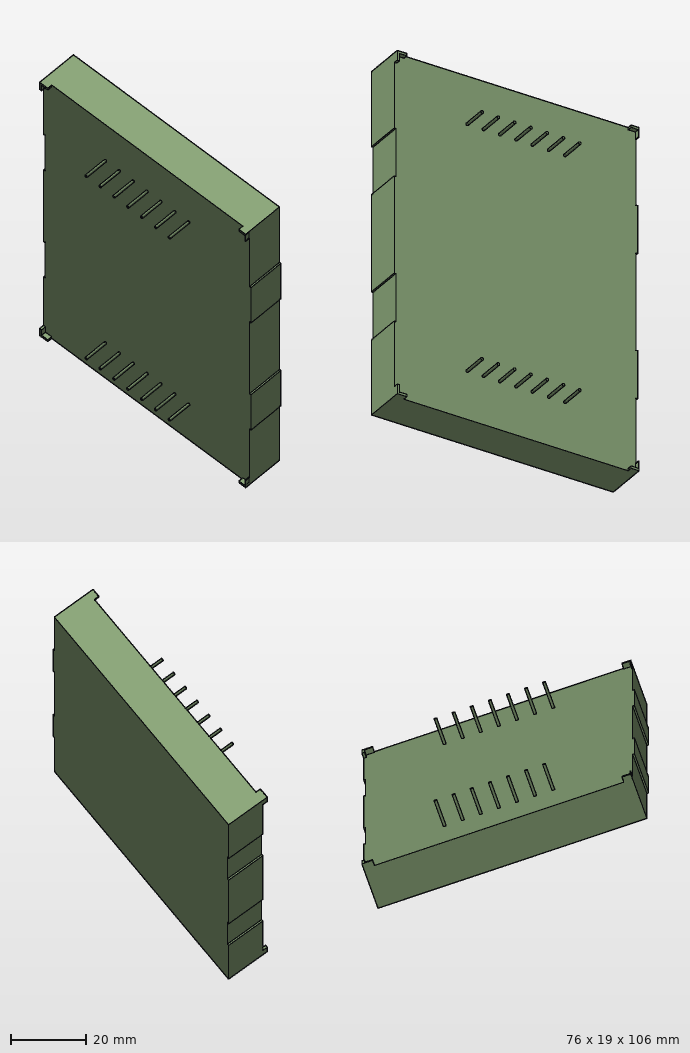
import cadquery as cq

overall_width = 76.0

body_height = 106.0
body_depth = 11.5

key_step = 0.5
key_height = 14.8
key_center_z = 22.4

left_x = -overall_width / 2
right_x = overall_width / 2 - key_step
body_width = right_x - left_x
body_center_x = (left_x + right_x) / 2

foot_length = 3.0
foot_wall = 0.75
foot_depth = 1.5

pin_diameter = 0.8
pin_length = 7.5
pin_pitch = 5.08
pins_per_row = 7
row_spacing = 76.2


def block(x_size, y_size, z_size, center):
    """Rectangular block centred on the given point."""
    return cq.Workplane("XY").box(x_size, y_size, z_size).translate(center)


def make_body():
    """Plain slab with the raised and recessed side keys."""
    mid_y = body_depth / 2
    body = block(body_width, body_depth, body_height, (body_center_x, mid_y, 0))
    for z in (-key_center_z, key_center_z):
        key_left = block(2 * key_step, body_depth, key_height, (left_x, mid_y, z))
        key_right = block(2 * key_step, body_depth, key_height, (right_x, mid_y, z))
        body = body.cut(key_left).union(key_right)
    return body


def make_foot(x_side, z_side):
    """L-shaped foot in the corner given by the signs of X and Z."""
    corner_x = left_x if x_side < 0 else right_x
    corner_z = z_side * body_height / 2
    setback = 0 if x_side < 0 else key_step
    length_x = foot_length - setback
    wall_x = foot_wall - setback
    outline = [
        (0, 0),
        (length_x, 0),
        (length_x, foot_wall),
        (wall_x, foot_wall),
        (wall_x, foot_length),
        (0, foot_length),
    ]
    points = [(corner_x - x_side * u, corner_z - z_side * v) for u, v in outline]
    return cq.Workplane("XZ").polyline(points).close().extrude(foot_depth)


def make_pins():
    """Both rows of round pins, pointing towards -Y."""
    return (
        cq.Workplane("XZ")
        .rarray(pin_pitch, row_spacing, pins_per_row, 2)
        .circle(pin_diameter / 2)
        .extrude(pin_length)
    )


result = make_body()
for x_side in (-1, 1):
    for z_side in (-1, 1):
        result = result.union(make_foot(x_side, z_side))
result = result.union(make_pins())